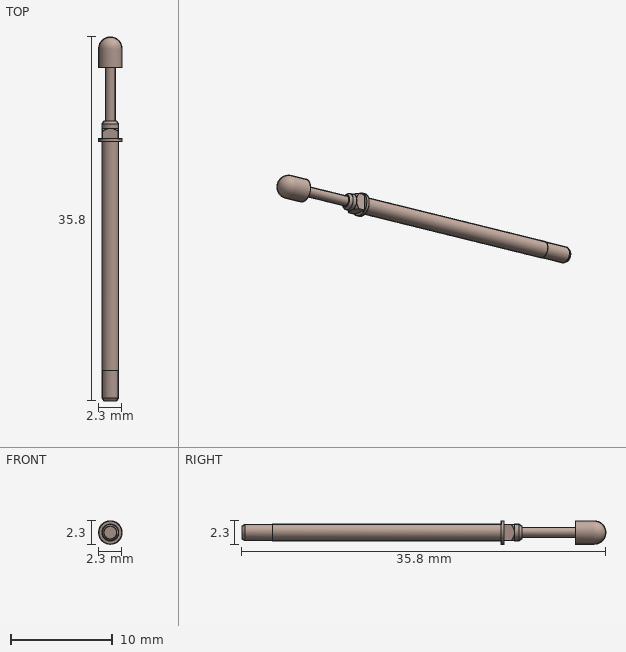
import cadquery as cq
import math

total_length = 35.8

head_diameter = 2.3
head_length = 3.0
plunger_diameter = 1.0

barrel_diameter = 1.65
mouth_start = 8.25
mouth_rim_diameter = 1.25
mouth_chamfer_length = 0.3
square_start = 9.0
square_side = 1.6
square_crown_length = 0.3
collar_start = 10.0
collar_thickness = 0.3
collar_diameter = head_diameter

tail_length = 3.0
tail_diameter = 1.6
tail_chamfer_length = 0.3
tail_chamfer_angle = 30

tip_y = collar_start


def cylinder(start, end, diameter):
    """Round section between two distances from the tip."""
    return (
        cq.Workplane("XZ", origin=(0, tip_y - start, 0))
        .circle(diameter / 2)
        .extrude(end - start)
    )


def make_head():
    """Contact head with a hemispherical front."""
    radius = head_diameter / 2
    shank = cylinder(radius, head_length, head_diameter)
    ball = cq.Workplane("XY").sphere(radius).translate((0, tip_y - radius, 0))
    return shank.union(ball)


def make_mouth():
    """Front end of the barrel, chamfered where the plunger emerges."""
    mouth = cylinder(mouth_start, square_start, barrel_diameter)
    chamfer_depth = (barrel_diameter - mouth_rim_diameter) / 2
    return mouth.faces(">Y").chamfer(mouth_chamfer_length, chamfer_depth)


def make_square():
    """Square drive section whose front corners are turned to a cone."""
    length = collar_start - square_start
    start_plane = cq.Workplane("XZ", origin=(0, tip_y - square_start, 0))
    block = start_plane.rect(square_side, square_side).extrude(length)
    envelope = cylinder(square_start, collar_start, collar_diameter)
    crown_depth = (collar_diameter - barrel_diameter) / 2
    crown = envelope.faces(">Y").chamfer(square_crown_length, crown_depth)
    return block.intersect(crown)


def make_tail():
    """Rear end of the barrel with a chamfered rim."""
    tail = cylinder(total_length - tail_length, total_length, tail_diameter)
    chamfer_depth = tail_chamfer_length * math.tan(math.radians(tail_chamfer_angle))
    return tail.faces("<Y").chamfer(tail_chamfer_length, chamfer_depth)


collar_end = collar_start + collar_thickness
plunger = cylinder(head_length, mouth_start, plunger_diameter)
collar = cylinder(collar_start, collar_end, collar_diameter)
body = cylinder(collar_end, total_length - tail_length, barrel_diameter)

result = (
    make_head()
    .union(plunger)
    .union(make_mouth())
    .union(make_square())
    .union(collar)
    .union(body)
    .union(make_tail())
)